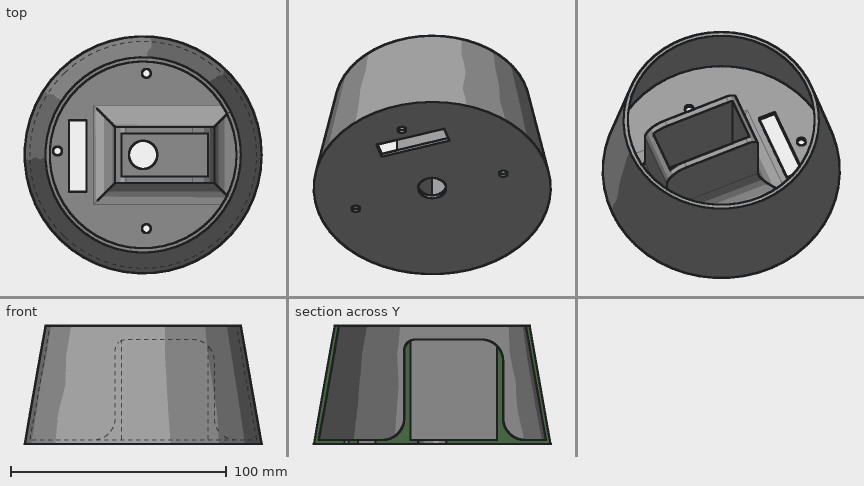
import cadquery as cq
import math

base_radius = 55.0
height = 55.0
taper_angle = 10.0
wall = 2.0
floor = 2.0

pocket_length = 40.0
pocket_width = 20.0
pocket_start_x = -10.0
block_wall = 3.0
block_top = 48.5
block_length = pocket_length + 2 * block_wall
block_width = pocket_width + 2 * block_wall
block_center_x = pocket_start_x + pocket_length / 2
pocket_floor = floor
near_rounding = 5.0
far_rounding = 10.0
root_radius = 10.0

cable_hole_diameter = 13.0
screw_hole_diameter = 4.0
screw_hole_centers = [(1.5, 37.8), (1.5, -34.2), (-39.7, 1.8)]
slot_length = 33.0
slot_width = 8.0
slot_center = (-30.3, -0.5)


def make_shell():
    """Open cup whose outer and inner walls share the same taper."""
    inner_radius = base_radius - wall - floor * math.tan(math.radians(taper_angle))
    outside = cq.Workplane("XY").circle(base_radius).extrude(height, taper=taper_angle)
    inside = (
        cq.Workplane("XY", origin=(0, 0, floor))
        .circle(inner_radius)
        .extrude(height - floor, taper=taper_angle)
    )
    return outside.cut(inside)


def make_block():
    """Upright block with its two end top edges rounded."""
    block = (
        cq.Workplane("XY")
        .center(block_center_x, 0)
        .rect(block_length, block_width)
        .extrude(block_top)
    )
    block = block.faces(">Z").edges("<X").fillet(near_rounding)
    return block.faces(">Z").edges(">X").fillet(far_rounding)


def make_root_flare():
    """Concave skirt around the foot of the block, mitred at its corners."""
    flare_length = block_length + 2 * root_radius
    flare_width = block_width + 2 * root_radius

    def concave_ridge(plane, half_width, run):
        top = floor + root_radius
        sag = root_radius * (1 - math.sqrt(0.5))
        outer = half_width + root_radius
        return (
            cq.Workplane(plane)
            .moveTo(-outer, 0)
            .lineTo(-outer, floor)
            .threePointArc((-half_width - sag, floor + sag), (-half_width, top))
            .lineTo(half_width, top)
            .threePointArc((half_width + sag, floor + sag), (outer, floor))
            .lineTo(outer, 0)
            .close()
            .extrude(run / 2, both=True)
        )

    along_x = concave_ridge("YZ", block_width / 2, flare_length)
    along_y = concave_ridge("XZ", block_length / 2, flare_width)
    return along_x.intersect(along_y).translate((block_center_x, 0, 0))


def make_pocket():
    """Rectangular pocket opening at the top of the block."""
    return (
        cq.Workplane("XY", origin=(block_center_x, 0, pocket_floor))
        .rect(pocket_length, pocket_width)
        .extrude(height)
    )


def make_floor_openings():
    """Cable hole, screw holes and slot, all through the floor."""
    cable_hole = cq.Workplane("XY").circle(cable_hole_diameter / 2).extrude(block_top)
    screw_holes = (
        cq.Workplane("XY")
        .pushPoints(screw_hole_centers)
        .circle(screw_hole_diameter / 2)
        .extrude(floor)
    )
    slot = cq.Workplane("XY").center(*slot_center).rect(slot_width, slot_length).extrude(floor)
    return cable_hole.union(screw_holes).union(slot)


result = (
    make_shell()
    .union(make_block())
    .union(make_root_flare())
    .cut(make_pocket())
    .cut(make_floor_openings())
)